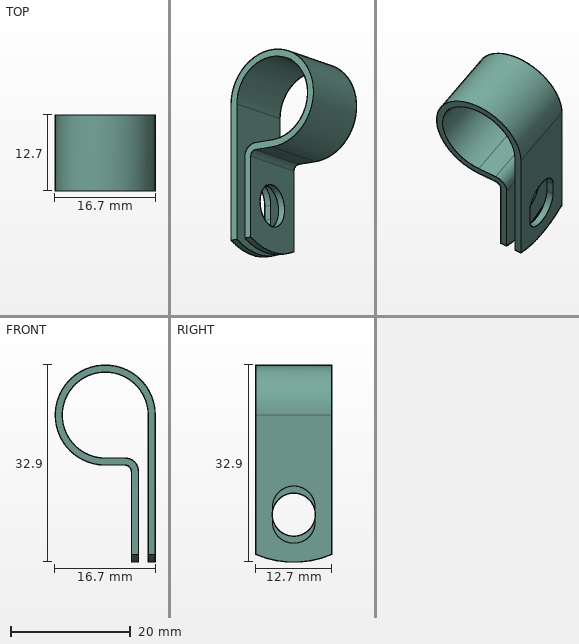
import cadquery as cq
import math

strip_width = 12.7
thickness = 1.21
loop_inner_diameter = 14.29
leg_gap = 1.6
bend_inner_radius = 1.0
leg_length = 24.53
hole_diameter = 7.14
hole_to_tip = 7.94
slot_length = 9.525
end_rise = 1.31

loop_inner_radius = loop_inner_diameter / 2
loop_outer_radius = loop_inner_radius + thickness
bend_outer_radius = bend_inner_radius + thickness
short_leg_right = loop_inner_radius - leg_gap
short_leg_left = short_leg_right - thickness
bend_center_x = short_leg_right - bend_outer_radius
bend_center_z = -loop_inner_radius - bend_outer_radius
tip_z = -leg_length
gap_middle_x = loop_inner_radius - leg_gap / 2
hole_z = tip_z + hole_to_tip
half_width = strip_width / 2


def bend_midpoint(radius):
    """Middle point of the quarter bend between the loop and the short leg."""
    offset = radius * math.sqrt(0.5)
    return (bend_center_x + offset, bend_center_z + offset)


def loop_midpoint(radius):
    """Middle point of the three-quarter loop, at its upper left."""
    offset = radius * math.sqrt(0.5)
    return (-offset, offset)


def make_strip():
    """Bent strip with square leg ends."""
    outline = (
        cq.Workplane("XZ")
        .moveTo(loop_outer_radius, tip_z)
        .lineTo(loop_outer_radius, 0)
        .threePointArc(loop_midpoint(loop_outer_radius), (0, -loop_outer_radius))
        .lineTo(bend_center_x, -loop_outer_radius)
        .threePointArc(bend_midpoint(bend_inner_radius), (short_leg_left, bend_center_z))
        .lineTo(short_leg_left, tip_z)
        .lineTo(short_leg_right, tip_z)
        .lineTo(short_leg_right, bend_center_z)
        .threePointArc(bend_midpoint(bend_outer_radius), (bend_center_x, -loop_inner_radius))
        .lineTo(0, -loop_inner_radius)
        .threePointArc(loop_midpoint(loop_inner_radius), (loop_inner_radius, 0))
        .lineTo(loop_inner_radius, tip_z)
        .close()
    )
    return outline.extrude(half_width, both=True)


def make_end_envelope():
    """Block with an arched underside that rounds the ends of both legs."""
    return (
        cq.Workplane("YZ")
        .moveTo(-half_width, loop_outer_radius)
        .lineTo(-half_width, tip_z + end_rise)
        .threePointArc((0, tip_z), (half_width, tip_z + end_rise))
        .lineTo(half_width, loop_outer_radius)
        .close()
        .extrude(loop_outer_radius, both=True)
    )


def make_screw_hole():
    """Round hole along X through the short leg."""
    return (
        cq.Workplane("YZ", origin=(0, 0, hole_z))
        .circle(hole_diameter / 2)
        .extrude(gap_middle_x)
    )


def make_adjustment_slot():
    """Upright slot along X through the long leg, centred on the round hole."""
    return (
        cq.Workplane("YZ", origin=(gap_middle_x, 0, hole_z))
        .slot2D(slot_length, hole_diameter, angle=90)
        .extrude(loop_outer_radius - gap_middle_x)
    )


result = (
    make_strip()
    .intersect(make_end_envelope())
    .cut(make_screw_hole())
    .cut(make_adjustment_slot())
)